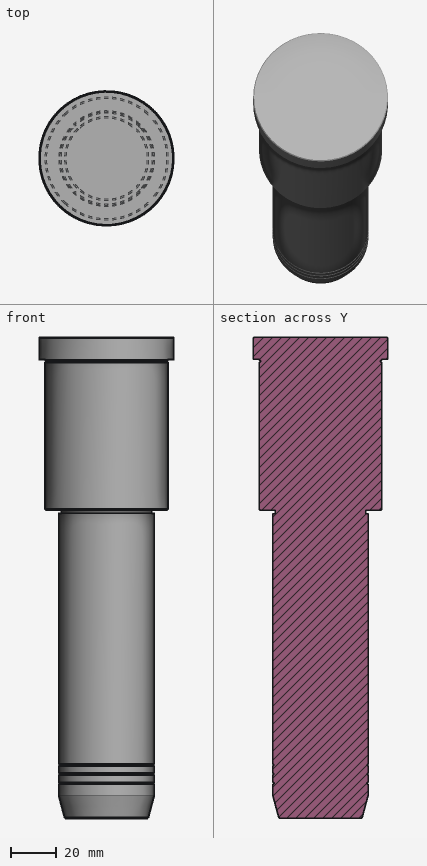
import cadquery as cq
import math

total_length = 211.0

flange_radius = 59.0 / 2
flange_height = 10.0
flange_chamfer = 0.5

body_radius = 54.0 / 2
body_bottom = 135.0
body_chamfer = 0.6
relief_depth = 0.6

shaft_radius = 42.0 / 2
undercut_depth = 1.0
undercut_height = 1.3

groove_depth = 0.5
groove_count = 3
groove_pitch = 4.0
lowest_groove_bottom = 15.0

tip_height = 10.1
tip_angle = 15.0
tip_chamfer = 0.6


def cylinder(radius, bottom, top):
    """Solid cylinder on the Z axis between two heights."""
    return cq.Workplane("XY").workplane(offset=bottom).circle(radius).extrude(top - bottom)


def vee_groove(surface_radius, bottom, depth):
    """Ring that cuts a 90 degree V groove upward from the given height into a cylinder's surface."""
    return (
        cq.Workplane("XZ")
        .moveTo(surface_radius, bottom)
        .lineTo(surface_radius - depth, bottom + depth)
        .lineTo(surface_radius, bottom + 2 * depth)
        .close()
        .revolve(360, (0, 0, 0), (0, 1, 0))
    )


def make_head():
    """Flange with a broken top edge and the grooved body hanging below it."""
    flange_bottom = total_length - flange_height
    flange = cylinder(flange_radius, flange_bottom, total_length).faces(">Z").chamfer(flange_chamfer)
    body = cylinder(body_radius, body_bottom, flange_bottom).faces("<Z").chamfer(body_chamfer)
    relief = vee_groove(body_radius, flange_bottom - 2 * relief_depth, relief_depth)
    return flange.union(body.cut(relief))


def make_shaft():
    """Turned guide shaft with an undercut top and a tapered, chamfered tip, cut by the oil grooves."""
    taper = math.tan(math.radians(tip_angle))
    tip_radius = shaft_radius - (tip_height - tip_chamfer) * taper
    undercut_radius = shaft_radius - undercut_depth
    undercut_bottom = body_bottom - undercut_height
    shaft = (
        cq.Workplane("XZ")
        .moveTo(0, 0)
        .lineTo(tip_radius - tip_chamfer, 0)
        .lineTo(tip_radius, tip_chamfer)
        .lineTo(shaft_radius, tip_height)
        .lineTo(shaft_radius, undercut_bottom)
        .lineTo(undercut_radius, undercut_bottom)
        .lineTo(undercut_radius, body_bottom)
        .lineTo(0, body_bottom)
        .close()
        .revolve(360, (0, 0, 0), (0, 1, 0))
    )
    for index in range(groove_count):
        bottom = lowest_groove_bottom + index * groove_pitch
        shaft = shaft.cut(vee_groove(shaft_radius, bottom, groove_depth))
    return shaft


result = make_head().union(make_shaft())